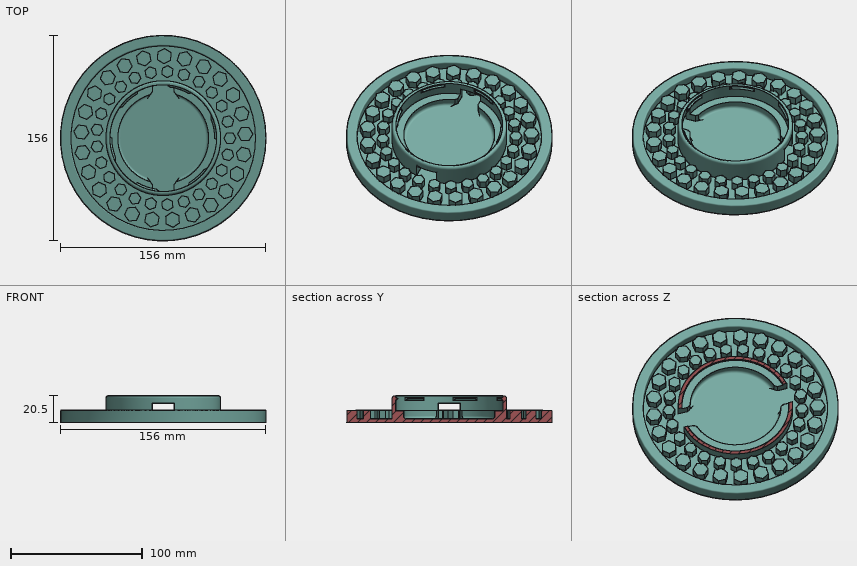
import cadquery as cq
import math

BASE_DIAMETER = 156.0
BASE_RADIUS = BASE_DIAMETER / 2
BASE_HEIGHT = 9.5
FLOOR_HEIGHT = 3.0
TROUGH_DIAMETER = 140.0
TROUGH_RADIUS = TROUGH_DIAMETER / 2
RIM_ROUND = 1.0

RING_OUTER_DIAMETER = 87.0
RING_OUTER_RADIUS = RING_OUTER_DIAMETER / 2
RING_INNER_DIAMETER = 81.0
RING_INNER_RADIUS = RING_INNER_DIAMETER / 2
RING_TOP = 20.5
RING_ROUND = 1.9

LEDGE_RADIUS = 34.5
LEDGE_TOP = 9.0
LEDGE_FOOT_ROUND = 2.0

SLOT_WIDTH = 16.5
SLOT_TOP = 14.7
MOUTH_WIDTH = 23.7
MOUTH_LENGTH = 5.0

SNAP_COUNT = 6
SNAP_START = -1.5
SNAP_ARC = 27.4
SNAP_LEAD_RAMP_ARC = 3.6
SNAP_TAIL_RAMP_ARC = 1.4
SNAP_DEPTH = 1.48
SNAP_TIP_HEIGHT = 18.3
SNAP_TOP = 19.2
SNAP_BOTTOM = SNAP_TIP_HEIGHT - SNAP_DEPTH

PEG_COUNT = 25
INNER_PEG_CIRCLE = 50.5
INNER_PEG_FLATS = 8.0
OUTER_PEG_CIRCLE = 62.2
OUTER_PEG_FLATS = 10.0
OUTER_PEG_START = 2.9


def cylinder(radius, bottom, top):
    """Cylinder on the Z axis between two heights."""
    return cq.Workplane("XY").workplane(offset=bottom).circle(radius).extrude(top - bottom)


def dish():
    """Disc with a flat-bottomed trough and rounded rim edges."""
    body = cylinder(BASE_RADIUS, 0, BASE_HEIGHT)
    body = body.cut(cylinder(TROUGH_RADIUS, FLOOR_HEIGHT, BASE_HEIGHT))
    return body.faces(">Z").edges().fillet(RIM_ROUND)


def ring():
    """Upright ring whose outer top edge is rounded."""
    body = cylinder(RING_OUTER_RADIUS, 0, RING_TOP).faces(">Z").edges().fillet(RING_ROUND)
    return body.cut(cylinder(RING_INNER_RADIUS, 0, RING_TOP))


def ledge():
    """Step around the inside of the ring, with a concave round where it meets the floor."""
    toe_radius = LEDGE_RADIUS - LEDGE_FOOT_ROUND
    round_top = FLOOR_HEIGHT + LEDGE_FOOT_ROUND
    diagonal = LEDGE_FOOT_ROUND * (1 - math.sqrt(0.5))
    return (
        cq.Workplane("XZ")
        .moveTo(toe_radius, 0)
        .lineTo(toe_radius, FLOOR_HEIGHT)
        .threePointArc((LEDGE_RADIUS - diagonal, FLOOR_HEIGHT + diagonal), (LEDGE_RADIUS, round_top))
        .lineTo(LEDGE_RADIUS, LEDGE_TOP)
        .lineTo(RING_INNER_RADIUS, LEDGE_TOP)
        .lineTo(RING_INNER_RADIUS, 0)
        .close()
        .revolve(360, (0, 0, 0), (0, 1, 0))
    )


def slot():
    """Cutter for the slot: it flares at a slant where it opens through the ledge."""
    half_width = SLOT_WIDTH / 2
    half_mouth = MOUTH_WIDTH / 2
    toe_radius = LEDGE_RADIUS - LEDGE_FOOT_ROUND
    mouth_y = math.sqrt(toe_radius**2 - half_mouth**2)
    quarter = (
        cq.Workplane("XY")
        .workplane(offset=FLOOR_HEIGHT)
        .lineTo(half_mouth, 0)
        .lineTo(half_mouth, mouth_y)
        .lineTo(half_width, mouth_y + MOUTH_LENGTH)
        .lineTo(half_width, RING_OUTER_RADIUS)
        .lineTo(0, RING_OUTER_RADIUS)
        .close()
        .extrude(SLOT_TOP - FLOOR_HEIGHT)
    )
    half = quarter.union(quarter.mirror("YZ"))
    return half.union(half.mirror("XZ"))


def polar_point(radius, angle):
    """Point at a radius and an angle in degrees."""
    return (radius * math.cos(math.radians(angle)), radius * math.sin(math.radians(angle)))


def snap_ramp_cutter(tip_radius, end_angle, ramp_arc):
    """Triangular prism that slopes the end of a rib from its tip out to the ring wall."""
    return (
        cq.Workplane("XY")
        .polyline(
            [
                polar_point(tip_radius, end_angle - ramp_arc),
                polar_point(RING_INNER_RADIUS, end_angle),
                polar_point(tip_radius, end_angle + ramp_arc),
            ]
        )
        .close()
        .extrude(RING_TOP)
    )


def snap_rib():
    """Rib of triangular section rooted in the ring wall, with a long ramp and a short one at its ends."""
    root_radius = (RING_INNER_RADIUS + RING_OUTER_RADIUS) / 2
    tip_radius = RING_INNER_RADIUS - SNAP_DEPTH
    rib = (
        cq.Workplane("XZ")
        .moveTo(root_radius, SNAP_BOTTOM)
        .lineTo(RING_INNER_RADIUS, SNAP_BOTTOM)
        .lineTo(tip_radius, SNAP_TIP_HEIGHT)
        .lineTo(RING_INNER_RADIUS, SNAP_TOP)
        .lineTo(root_radius, SNAP_TOP)
        .close()
        .revolve(SNAP_ARC, (0, 0, 0), (0, 1, 0))
    )
    lead_cutter = snap_ramp_cutter(tip_radius, SNAP_ARC, SNAP_LEAD_RAMP_ARC)
    tail_cutter = snap_ramp_cutter(tip_radius, 0, SNAP_TAIL_RAMP_ARC)
    rib = rib.cut(lead_cutter).cut(tail_cutter)
    return rib.rotate((0, 0, 0), (0, 0, 1), SNAP_START)


def snap_ribs():
    """Snap ribs spaced evenly around the inner wall of the ring."""
    rib = snap_rib()
    ribs = cq.Workplane("XY")
    for index in range(SNAP_COUNT):
        ribs = ribs.add(rib.rotate((0, 0, 0), (0, 0, 1), index * 360 / SNAP_COUNT))
    return ribs.combine()


def pegs(circle_radius, flats, start_angle):
    """Circle of hexagonal pegs, all turned the same way about the centre of the part."""
    corner_diameter = flats / math.cos(math.pi / 6)
    peg = cq.Workplane("XY").polygon(6, corner_diameter).extrude(BASE_HEIGHT)
    peg = peg.rotate((0, 0, 0), (0, 0, 1), -start_angle).translate((circle_radius, 0, 0))
    row = cq.Workplane("XY")
    for index in range(PEG_COUNT):
        angle = start_angle + index * 360 / PEG_COUNT
        row = row.add(peg.rotate((0, 0, 0), (0, 0, 1), angle))
    return row.combine()


result = dish().union(ring()).union(ledge()).cut(slot())
result = result.union(snap_ribs())
result = result.union(pegs(INNER_PEG_CIRCLE, INNER_PEG_FLATS, 0))
result = result.union(pegs(OUTER_PEG_CIRCLE, OUTER_PEG_FLATS, OUTER_PEG_START))